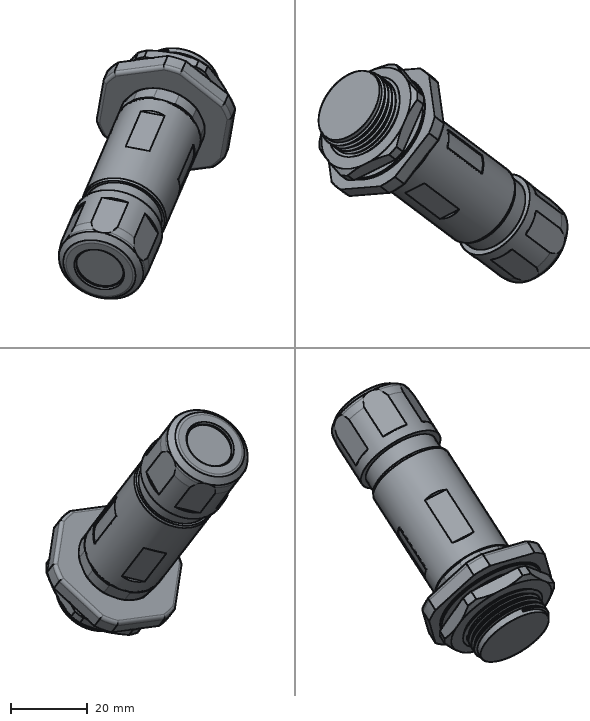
import cadquery as cq
import math

TOTAL_LENGTH = 77.95

CAP_LENGTH = 18.0
CAP_RADIUS = 12.0
CAP_TAPER_START = 5.0
CAP_SHOULDER_Y = 2.4
CAP_SHOULDER_RADIUS = 11.7
CAP_CHAMFER_Y = 1.7
CAP_CHAMFER_RADIUS = 11.45
CAP_FACE_RADIUS = 9.05
CAP_RIM_RADIUS = 9.8
CAP_RIM_Y = 0.2
CAP_FLAT_DISTANCE = 11.45
CAP_FLAT_END = 15.0
RECESS_MOUTH_RADIUS = 6.8
RECESS_FLOOR_RADIUS = 6.4
RECESS_CHAMFER_DEPTH = 0.5
RECESS_DEPTH = 0.9

NECK_RADIUS = 10.5
BODY_START = 22.85
BODY_RADIUS = 11.45
BODY_EDGE_LENGTH = 0.7
BODY_EDGE_INSET = 0.3
PANEL_START = 36.4
PANEL_END = 50.75
WRENCH_FLAT_DISTANCE = 11.0
WRENCH_FLAT_RUNOUT = 0.5
LABEL_DEPTH = 0.3
LABEL_HEIGHT = 6.0
LABEL_CORNER_RADIUS = 0.4

COLLAR_START = 56.1
COLLAR_EDGE = 0.3
COLLAR_FLAT_DISTANCE = 11.1

FLANGE_START = 60.6
FLANGE_END = 65.0
FLANGE_DIAMETER = 38.0
FLANGE_ACROSS_FLATS = 35.1
FLANGE_TURN = -7.5
FLANGE_EDGE_RADIUS = 1.0
GASKET_END = 65.5
GASKET_RADIUS = 15.1
GASKET_EDGE = 0.3
SHOULDER_RADIUS = 11.9
KEY_FLAT_WIDTH = 3.1
KEY_FLAT_ANGLE = 111.0

NUT_START = 67.3
NUT_END = 70.85
NUT_RADIUS = 16.5
NUT_ACROSS_FLATS = 29.9
NUT_CHAMFER_LENGTH = 0.9
NUT_FACE_RADIUS = 15.05
LIP_END = 71.55
LIP_ROOT_RADIUS = 11.3

THREAD_ROOT_RADIUS = 10.3
THREAD_CREST_RADIUS = 11.0
THREAD_PITCH = 1.5
THREAD_TURNS = 3.5
THREAD_START = 71.3
THREAD_ROOT_WIDTH = 1.25
THREAD_CREST_WIDTH = 0.2
THREAD_EMBED = 0.2
RUNOUT_TURNS = 0.2

HEX_ANGLES = range(0, 360, 60)
HEX_HALF_STEP = 30


def revolve_profile(points):
    """Solid of revolution about Y from (radius, y) points."""
    return cq.Workplane("XY").polyline(points).close().revolve(360, (0, 0, 0), (0, 1, 0))


def cylinder(radius, start, end):
    return revolve_profile([(0, start), (radius, start), (radius, end), (0, end)])


def hex_prism(across_flats, start, end, turn):
    """Hexagonal bar along Y with a flat facing the turn angle, measured from +X to +Z."""
    corner_diameter = across_flats / math.cos(math.radians(HEX_HALF_STEP))
    bar = cq.Workplane("XZ", origin=(0, start, 0)).polygon(6, corner_diameter).extrude(start - end)
    return bar.rotate((0, 0, 0), (0, 1, 0), HEX_HALF_STEP - turn)


def outside_flat(distance, start, end, angle):
    """Cutter that leaves a flat at the given distance, facing the given angle."""
    size = 2 * SHOULDER_RADIUS
    block = cq.Workplane("XY").box(size, end - start, size, centered=(False, False, True))
    block = block.translate((distance, start, 0))
    return block.rotate((0, 0, 0), (0, 1, 0), -angle)


def make_cap():
    cap = revolve_profile([
        (0, RECESS_DEPTH),
        (RECESS_FLOOR_RADIUS, RECESS_DEPTH),
        (RECESS_FLOOR_RADIUS, RECESS_CHAMFER_DEPTH),
        (RECESS_MOUTH_RADIUS, 0),
        (CAP_FACE_RADIUS, 0),
        (CAP_RIM_RADIUS, CAP_RIM_Y),
        (CAP_CHAMFER_RADIUS, CAP_CHAMFER_Y),
        (CAP_SHOULDER_RADIUS, CAP_SHOULDER_Y),
        (CAP_RADIUS, CAP_TAPER_START),
        (CAP_RADIUS, CAP_LENGTH),
        (0, CAP_LENGTH),
    ])
    for angle in HEX_ANGLES:
        cap = cap.cut(outside_flat(CAP_FLAT_DISTANCE, 0, CAP_FLAT_END, angle + HEX_HALF_STEP))
    return cap


def make_wrench_flat_cutter():
    """Trapezoid that cuts the flat on the +Z side of the body, with sloping ends."""
    slope_height = BODY_RADIUS / 4
    run = WRENCH_FLAT_RUNOUT * slope_height / (BODY_RADIUS - WRENCH_FLAT_DISTANCE)
    floor = WRENCH_FLAT_DISTANCE
    outline = [
        (PANEL_START, floor),
        (PANEL_END, floor),
        (PANEL_END + run, floor + slope_height),
        (PANEL_START - run, floor + slope_height),
    ]
    return cq.Workplane("YZ").polyline(outline).close().extrude(BODY_RADIUS, both=True)


def make_body():
    body = revolve_profile([
        (0, BODY_START),
        (BODY_RADIUS - BODY_EDGE_INSET, BODY_START),
        (BODY_RADIUS, BODY_START + BODY_EDGE_LENGTH),
        (BODY_RADIUS, COLLAR_START),
        (0, COLLAR_START),
    ])
    wrench_flat = make_wrench_flat_cutter()
    body = body.cut(wrench_flat).cut(wrench_flat.mirror("XY"))

    panel = cq.Workplane("XY").box(
        4 * BODY_RADIUS, PANEL_END - PANEL_START, LABEL_HEIGHT, centered=(True, False, True)
    ).translate((0, PANEL_START, 0))
    panel = panel.edges("|X and >Y").fillet(LABEL_CORNER_RADIUS)
    panel = panel.cut(cylinder(BODY_RADIUS - LABEL_DEPTH, PANEL_START, PANEL_END))
    return body.cut(panel)


def make_collar():
    collar = revolve_profile([
        (0, COLLAR_START),
        (BODY_RADIUS - COLLAR_EDGE, COLLAR_START),
        (BODY_RADIUS, COLLAR_START + COLLAR_EDGE),
        (BODY_RADIUS, FLANGE_START - COLLAR_EDGE),
        (BODY_RADIUS - COLLAR_EDGE, FLANGE_START),
        (0, FLANGE_START),
    ])
    for angle in HEX_ANGLES:
        facing = angle + HEX_HALF_STEP + FLANGE_TURN
        collar = collar.cut(outside_flat(COLLAR_FLAT_DISTANCE, COLLAR_START, FLANGE_START, facing))
    return collar


def make_flange():
    flange = hex_prism(FLANGE_ACROSS_FLATS, FLANGE_START, FLANGE_END, FLANGE_TURN)
    flange = flange.intersect(cylinder(FLANGE_DIAMETER / 2, FLANGE_START, FLANGE_END))
    flange = flange.faces("<Y").edges().fillet(FLANGE_EDGE_RADIUS)
    gasket = cylinder(GASKET_RADIUS, FLANGE_END, GASKET_END).faces(">Y").chamfer(GASKET_EDGE)
    return flange.union(gasket)


def make_shoulder():
    shoulder = cylinder(SHOULDER_RADIUS, GASKET_END, NUT_START)
    key_distance = math.sqrt(SHOULDER_RADIUS ** 2 - (KEY_FLAT_WIDTH / 2) ** 2)
    return shoulder.cut(outside_flat(key_distance, GASKET_END, NUT_START, KEY_FLAT_ANGLE))


def make_nut():
    chamfered_blank = revolve_profile([
        (0, NUT_START),
        (NUT_RADIUS, NUT_START),
        (NUT_RADIUS, NUT_END - NUT_CHAMFER_LENGTH),
        (NUT_FACE_RADIUS, NUT_END),
        (0, NUT_END),
    ])
    nut = hex_prism(NUT_ACROSS_FLATS, NUT_START, NUT_END, HEX_HALF_STEP).intersect(chamfered_blank)
    lip = revolve_profile([
        (0, NUT_END),
        (LIP_ROOT_RADIUS, NUT_END),
        (SHOULDER_RADIUS, LIP_END),
        (0, LIP_END),
    ])
    return nut.union(lip)


def sweep_ridge(helix, base_radius):
    """Thread ridge that follows a helix rising along Z from the +X side."""
    profile = cq.Workplane("XZ").polyline([
        (base_radius, -THREAD_ROOT_WIDTH / 2),
        (THREAD_CREST_RADIUS, -THREAD_CREST_WIDTH / 2),
        (THREAD_CREST_RADIUS, THREAD_CREST_WIDTH / 2),
        (base_radius, THREAD_ROOT_WIDTH / 2),
    ]).close()
    return profile.sweep(cq.Workplane(helix), isFrenet=True)


def make_threaded_end():
    """Plain core with a right-handed helical ridge that runs out into the core."""
    threaded_end = cylinder(THREAD_ROOT_RADIUS, LIP_END, TOTAL_LENGTH)
    base_radius = THREAD_ROOT_RADIUS - THREAD_EMBED
    thread_rise = THREAD_PITCH * THREAD_TURNS
    runout_drop = THREAD_CREST_RADIUS - base_radius
    runout_rise = THREAD_PITCH * RUNOUT_TURNS
    runout_cone = -math.degrees(math.atan2(runout_drop, runout_rise))

    helix = cq.Wire.makeHelix(THREAD_PITCH, thread_rise, base_radius)
    ridge = sweep_ridge(helix, base_radius)
    runout_helix = cq.Wire.makeHelix(THREAD_PITCH, runout_rise, base_radius, angle=runout_cone)
    runout = sweep_ridge(runout_helix, base_radius)
    runout = runout.rotate((0, 0, 0), (0, 0, 1), 360 * THREAD_TURNS)
    runout = runout.translate((0, 0, thread_rise))

    for piece in (ridge, runout):
        piece = piece.rotate((0, 0, 0), (1, 0, 0), -90).translate((0, THREAD_START, 0))
        threaded_end = threaded_end.union(piece)
    return threaded_end


result = (
    make_cap()
    .union(cylinder(NECK_RADIUS, CAP_LENGTH, BODY_START))
    .union(make_body())
    .union(make_collar())
    .union(make_flange())
    .union(make_shoulder())
    .union(make_nut())
    .union(make_threaded_end())
)